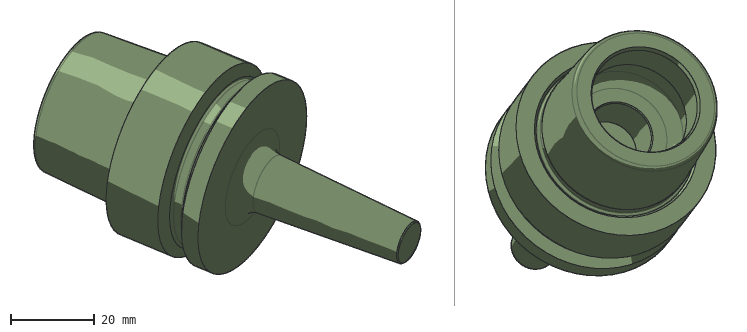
import cadquery as cq
import math

total_length = 94.9
flange_start = 25.0
flange_end = 50.8
taper_end = 22.9

taper_small_radius = 18.1
taper_large_radius = 19.2
taper_edge_radius = 0.95
neck_radius = 19.0
neck_start = 23.4

relief_outer_radius = 20.4
relief_floor_radius = 19.8
relief_depth = 0.6
relief_fillet = 0.7

flange_radius = 50.0 / 2
groove_start = 39.5
groove_end = 46.1
groove_floor_radius = 21.5
groove_flank_angle = 60.0
groove_corner_radius = 0.7

nose_base_radius = 7.5
nose_tip_radius = 5.5
nose_root_radius = 4.7
nose_tip_chamfer = 0.3

bore_mouth_radius = 13.7
bore_mouth_depth = 1.0
bore_radius = 13.2
bore_depth = 10.2
chamber_radius = 15.0
chamber_depth = 22.0
chamber_floor_fillet = 3.1
pocket_radius = 8.35
pocket_floor_radius = 7.0
pocket_depth = 9.5
pocket_mouth_chamfer = 0.3


def revolve_about_x(profile):
    """Revolve a profile of (axial, radial) points about the X axis."""
    return profile.close().revolve(360, (0, 0, 0), (1, 0, 0))


def ring_edges(body, axial, radius):
    """Full-circle edge centred on the X axis at one axial place and radius."""
    tolerance = 0.01
    circles = body.edges("%CIRCLE")
    return circles.filter(
        lambda edge: abs(edge.Center().x - axial) < tolerance and abs(edge.radius() - radius) < tolerance
    )


def make_shank():
    profile = (
        cq.Workplane("XY")
        .lineTo(0, taper_small_radius)
        .lineTo(taper_end, taper_large_radius)
        .lineTo(neck_start, neck_radius)
        .lineTo(flange_start + relief_depth, neck_radius)
        .lineTo(flange_start + relief_depth, 0)
    )
    shank = revolve_about_x(profile)
    return ring_edges(shank, 0, taper_small_radius).fillet(taper_edge_radius)


def make_flange():
    flank_foot_radius = groove_floor_radius + groove_corner_radius
    flank = (flange_radius - flank_foot_radius) / math.tan(math.radians(groove_flank_angle))
    floor_start = groove_start + flank
    floor_end = groove_end - flank
    relief_floor = flange_start + relief_depth
    profile = (
        cq.Workplane("XY")
        .moveTo(relief_floor, 0)
        .lineTo(relief_floor, relief_floor_radius)
        .lineTo(flange_start, relief_outer_radius)
        .lineTo(flange_start, flange_radius)
        .lineTo(groove_start, flange_radius)
        .lineTo(floor_start, flank_foot_radius)
        .radiusArc((floor_start + groove_corner_radius, groove_floor_radius), -groove_corner_radius)
        .lineTo(floor_end - groove_corner_radius, groove_floor_radius)
        .radiusArc((floor_end, flank_foot_radius), -groove_corner_radius)
        .lineTo(groove_end, flange_radius)
        .lineTo(flange_end, flange_radius)
        .lineTo(flange_end, 0)
    )
    return revolve_about_x(profile)


def make_nose():
    root_end = flange_end + nose_root_radius
    slope = math.atan((nose_base_radius - nose_tip_radius) / (total_length - root_end))
    turn = math.pi / 2 - slope
    arc_radius = nose_root_radius / (1 - math.cos(turn))
    arc_mid = (
        flange_end + arc_radius * (1 - math.cos(turn / 2)),
        nose_base_radius + arc_radius * (math.sin(turn) - math.sin(turn / 2)),
    )
    profile = (
        cq.Workplane("XY")
        .moveTo(flange_end, 0)
        .lineTo(flange_end, nose_base_radius + arc_radius * math.sin(turn))
        .threePointArc(arc_mid, (root_end, nose_base_radius))
        .lineTo(total_length, nose_tip_radius)
        .lineTo(total_length, 0)
    )
    nose = revolve_about_x(profile)
    return nose.faces(">X").edges().chamfer(nose_tip_chamfer)


def make_bore():
    pocket_floor = chamber_depth + pocket_depth
    profile = (
        cq.Workplane("XY")
        .lineTo(0, bore_mouth_radius)
        .lineTo(bore_mouth_depth, bore_radius)
        .lineTo(bore_depth, bore_radius)
        .lineTo(bore_depth, chamber_radius)
        .lineTo(chamber_depth, chamber_radius)
        .lineTo(chamber_depth, pocket_radius)
        .lineTo(chamber_depth + pocket_mouth_chamfer, pocket_radius - pocket_mouth_chamfer)
        .lineTo(pocket_floor, pocket_floor_radius)
        .lineTo(pocket_floor, 0)
    )
    bore = revolve_about_x(profile)
    return ring_edges(bore, chamber_depth, chamber_radius).fillet(chamber_floor_fillet)


body = make_shank().union(make_flange()).union(make_nose())
body = ring_edges(body, flange_start + relief_depth, neck_radius).fillet(relief_fillet)
result = body.cut(make_bore())